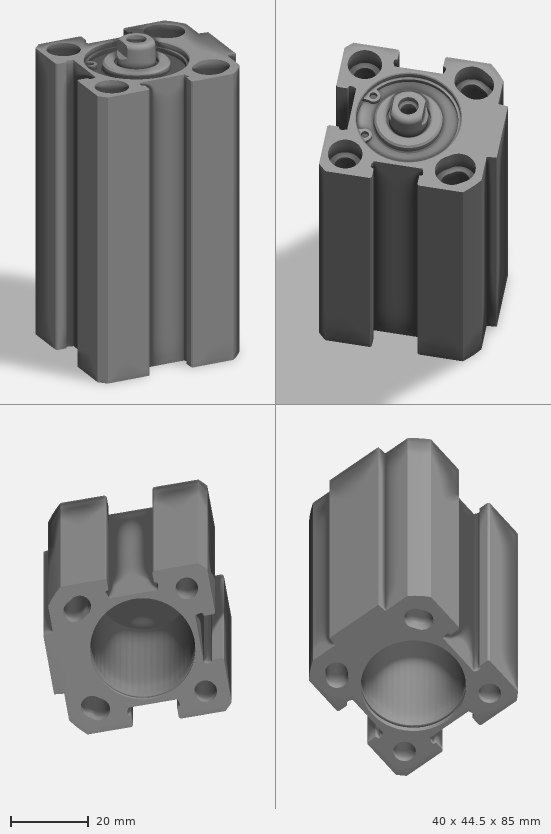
import cadquery as cq
import math


total_height = 85
rod_projection = 5.5
housing_height = total_height - rod_projection
housing_width = 40.0
half_width = housing_width / 2
housing_depth = 44.5
rail_top_y = housing_depth - half_width
back_y = 21.9

rail_half_top = 8.0
rail_half_base = 8.25

corner_radius = 26.9
front_chamfer = 1.95

slot_floor = 14.8
slot_half_opening = 5.95
slot_mouth_chamfer = 0.4
slot_lip = 3.0
slot_lip_slant = 0.3
slot_half_undercut = 6.8
slot_half_floor = 6.4
slot_taper_height = 1.0

hole_pitch_half = 13.9
hole_diameter = 5.8
counterbore_diameter = 8.8
counterbore_depth = 5.95
long_hole_dx = 1.0
long_hole_dy = 1.5

bore_diameter = 27.0
bore_mouth_chamfer = 0.25
ring_thickness = 1.2
ring_depth = 1.7
groove_diameter = 29.3

ring_outer_diameter = 28.4
ring_inner_diameter = 25.7
lug_hole_diameter = 2.0
lug_radius = 1.8
lug_center_radius = 11.9
lug_angle = 30.5
lug_flare = 0.4

cover_diameter = 26.9
cover_thickness = 10.2
cover_face_z = housing_height - ring_depth - ring_thickness
cover_bottom_z = cover_face_z - cover_thickness
collar_diameter = 17.5
collar_top_drop = 0.4
collar_chamfer = 0.5
collar_base_bevel = 0.3
rod_recess_diameter = 11.4
rod_recess_bevel = 0.25
rod_recess_depth = 1.0
rod_passage_mouth_diameter = 10.45

rod_diameter = 10.0
rod_end_radius = 1.3
flat_width = 8.0
flat_length = 3.5
rod_counterbore_diameter = 5.3
rod_counterbore_depth = 1.7
rod_hole_diameter = 4.2
rod_hole_depth = 10.2
drill_tip_angle = 118


def cylinder(diameter, bottom_z, height):
    return cq.Workplane("XY", origin=(0, 0, bottom_z)).circle(diameter / 2).extrude(height)


def revolved(profile):
    """Solid of revolution about Z from (radius, z) points."""
    return cq.Workplane("XZ").polyline(profile).close().revolve(360, (0, 0, 0), (0, 1, 0))


def housing_blank():
    side_corner_y = math.sqrt(corner_radius**2 - half_width**2)
    back_corner_x = math.sqrt(corner_radius**2 - back_y**2)
    middle_angle = (math.atan2(side_corner_y, half_width) + math.atan2(back_y, back_corner_x)) / 2
    arc_x = corner_radius * math.cos(middle_angle)
    arc_y = corner_radius * math.sin(middle_angle)
    return (
        cq.Workplane("XY")
        .moveTo(half_width - front_chamfer, -half_width)
        .lineTo(half_width, front_chamfer - half_width)
        .lineTo(half_width, side_corner_y)
        .threePointArc((arc_x, arc_y), (back_corner_x, back_y))
        .lineTo(rail_half_base, back_y)
        .lineTo(rail_half_top, rail_top_y)
        .lineTo(-rail_half_top, rail_top_y)
        .lineTo(-rail_half_base, back_y)
        .lineTo(-back_corner_x, back_y)
        .threePointArc((-arc_x, arc_y), (-half_width, side_corner_y))
        .lineTo(-half_width, front_chamfer - half_width)
        .lineTo(front_chamfer - half_width, -half_width)
        .close()
        .extrude(housing_height)
    )


def t_slot(turn):
    """Slot cut in the front face, then turned about Z to the wanted face."""
    lip_y = slot_lip - half_width
    half_outline = [
        (slot_half_opening + slot_mouth_chamfer, -half_width),
        (slot_half_opening, slot_mouth_chamfer - half_width),
        (slot_half_opening, lip_y),
        (slot_half_undercut, lip_y + slot_lip_slant),
        (slot_half_undercut, -slot_floor - slot_taper_height),
        (slot_half_floor, -slot_floor),
    ]
    other_half = [(-x, y) for x, y in reversed(half_outline)]
    slot = cq.Workplane("XY").polyline(half_outline + other_half).close().extrude(housing_height)
    return slot.rotate((0, 0, 0), (0, 0, 1), turn)


def upright_hole(diameter, bottom_z, side, is_long):
    """Round hole at a front corner, or a long hole at a rear corner that leans to the middle."""
    if not is_long:
        hole = cylinder(diameter, bottom_z, housing_height)
        return hole.translate((side * hole_pitch_half, -hole_pitch_half, 0))
    lean = math.degrees(math.atan2(long_hole_dy, -side * long_hole_dx))
    middle_x = side * (hole_pitch_half - long_hole_dx / 2)
    middle_y = hole_pitch_half + long_hole_dy / 2
    return (
        cq.Workplane("XY", origin=(middle_x, middle_y, bottom_z))
        .slot2D(diameter + math.hypot(long_hole_dx, long_hole_dy), diameter, lean)
        .extrude(housing_height)
    )


def stepped_bore():
    """Through bore with two ring grooves and a chamfered mouth at the top."""
    bore_radius = bore_diameter / 2
    mouth_profile = [
        (0, housing_height),
        (bore_radius + bore_mouth_chamfer, housing_height),
        (bore_radius, housing_height - bore_mouth_chamfer),
        (0, housing_height - bore_mouth_chamfer),
    ]
    bore = cylinder(bore_diameter, 0, housing_height).union(revolved(mouth_profile))
    for groove_z in (ring_depth, cover_face_z):
        bore = bore.union(cylinder(groove_diameter, groove_z, ring_thickness))
    return bore


def make_housing():
    housing = housing_blank()
    for turn in (-90, 0, 90):
        housing = housing.cut(t_slot(turn))
    counterbore_floor_z = housing_height - counterbore_depth
    for side in (-1, 1):
        for is_long in (False, True):
            housing = housing.cut(upright_hole(hole_diameter, 0, side, is_long))
            housing = housing.cut(upright_hole(counterbore_diameter, counterbore_floor_z, side, is_long))
    return housing.cut(stepped_bore())


def ring_lug(side):
    """Flared lug for the pliers, pointing inwards from the ring."""
    half_base = lug_radius + lug_flare * (ring_outer_diameter / 2 - lug_center_radius)
    flare = [
        (lug_center_radius, -lug_radius),
        (ring_outer_diameter / 2, -half_base),
        (ring_outer_diameter / 2, half_base),
        (lug_center_radius, lug_radius),
    ]
    lug = cq.Workplane("XY").polyline(flare).close().extrude(ring_thickness)
    nose = cylinder(2 * lug_radius, 0, ring_thickness).translate((lug_center_radius, 0, 0))
    return lug.union(nose).rotate((0, 0, 0), (0, 0, 1), side * lug_angle - 90)


def make_retaining_ring():
    outer_disc = cylinder(ring_outer_diameter, 0, ring_thickness)
    gap_reach = ring_outer_diameter
    gap_half = gap_reach * math.tan(math.radians(lug_angle))
    gap = (
        cq.Workplane("XY")
        .polyline([(0, 0), (-gap_half, -gap_reach), (gap_half, -gap_reach)])
        .close()
        .extrude(ring_thickness)
    )
    ring = outer_disc.cut(cylinder(ring_inner_diameter, 0, ring_thickness)).cut(gap)
    for side in (-1, 1):
        ring = ring.union(ring_lug(side).intersect(outer_disc))
        lug_hole = cylinder(lug_hole_diameter, 0, ring_thickness).translate((0, -lug_center_radius, 0))
        ring = ring.cut(lug_hole.rotate((0, 0, 0), (0, 0, 1), side * lug_angle))
    return ring.translate((0, 0, cover_face_z))


def make_cover():
    collar_radius = collar_diameter / 2
    recess_radius = rod_recess_diameter / 2
    passage_mouth_radius = rod_passage_mouth_diameter / 2
    rod_radius = rod_diameter / 2
    collar_top_z = housing_height - collar_top_drop
    recess_floor_z = collar_top_z - rod_recess_depth
    profile = [
        (rod_radius, cover_bottom_z),
        (cover_diameter / 2, cover_bottom_z),
        (cover_diameter / 2, cover_face_z),
        (collar_radius + collar_base_bevel, cover_face_z),
        (collar_radius, cover_face_z + collar_base_bevel),
        (collar_radius, collar_top_z - collar_chamfer),
        (collar_radius - collar_chamfer, collar_top_z),
        (recess_radius + rod_recess_bevel, collar_top_z),
        (recess_radius, collar_top_z - rod_recess_bevel),
        (recess_radius, recess_floor_z),
        (passage_mouth_radius, recess_floor_z),
        (rod_radius, recess_floor_z - (passage_mouth_radius - rod_radius)),
    ]
    return revolved(profile)


def rod_hole():
    hole_radius = rod_hole_diameter / 2
    counterbore_radius = rod_counterbore_diameter / 2
    counterbore_floor_z = total_height - rod_counterbore_depth
    tip_length = hole_radius / math.tan(math.radians(drill_tip_angle / 2))
    hole_floor_z = total_height - rod_hole_depth
    profile = [
        (0, total_height),
        (counterbore_radius, total_height),
        (counterbore_radius, counterbore_floor_z),
        (hole_radius, counterbore_floor_z - (counterbore_radius - hole_radius)),
        (hole_radius, hole_floor_z),
        (0, hole_floor_z - tip_length),
    ]
    return revolved(profile)


def wrench_flat(side):
    """Flat on the rod with a 45 degree run-out at its lower end."""
    rod_radius = rod_diameter / 2
    flat_y = flat_width / 2
    flat_bottom_z = total_height - flat_length
    profile = [
        (side * flat_y, total_height),
        (side * flat_y, flat_bottom_z),
        (side * rod_radius, flat_bottom_z - (rod_radius - flat_y)),
        (side * rod_radius, total_height),
    ]
    return cq.Workplane("YZ").polyline(profile).close().extrude(rod_radius, both=True)


def make_rod():
    rod = cylinder(rod_diameter, cover_bottom_z, total_height - cover_bottom_z)
    rod = rod.faces(">Z").edges().fillet(rod_end_radius)
    rod = rod.cut(rod_hole())
    for side in (-1, 1):
        rod = rod.cut(wrench_flat(side))
    return rod


housing = make_housing()
retaining_ring = make_retaining_ring()
cover = make_cover()
rod = make_rod()

result = cq.Compound.makeCompound([housing.val(), retaining_ring.val(), cover.val(), rod.val()])